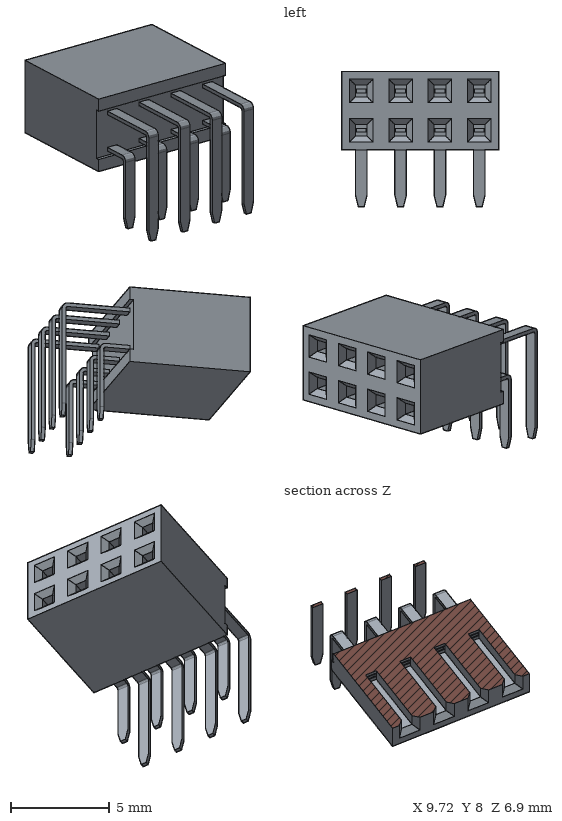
import cadquery as cq

pitch = 2.0
columns = 4
rows = 2

body_length = 6.35
body_width = columns * pitch
body_height = rows * pitch
rear_recess_depth = 0.2
rear_lip_height = 0.67

socket_mouth = 1.2
socket_throat = 0.6
lead_in_depth = (socket_mouth - socket_throat) / 2
socket_depth = 4.0

pin_width = 0.6
pin_thickness = 0.2
bend_inner_radius = 0.1
bend_outer_radius = bend_inner_radius + pin_thickness
overall_length = 9.72
tail_drop = 2.9
tip_width = 0.3
tip_length = 0.6

dish_floor_width = 0.5
dish_depth = (pin_width - dish_floor_width) / 2

column_positions = [(column - (columns - 1) / 2) * pitch for column in range(columns)]
row_heights = [(row + 0.5) * pitch for row in range(rows)]


def make_housing():
    """Block with a full-width recess across its rear face."""
    block = cq.Workplane("XY").box(body_length, body_width, body_height, centered=(False, True, False))
    recess = (
        cq.Workplane("XY")
        .box(
            rear_recess_depth,
            body_width,
            body_height - 2 * rear_lip_height,
            centered=(False, True, False),
        )
        .translate((body_length - rear_recess_depth, 0, rear_lip_height))
    )
    return block.cut(recess)


def make_socket(y, z):
    """Square blind hole with a pyramidal lead-in at the mating face."""
    lead_in = (
        cq.Workplane("YZ")
        .rect(socket_mouth, socket_mouth)
        .workplane(offset=lead_in_depth)
        .rect(socket_throat, socket_throat)
        .loft(ruled=True)
    )
    throat = cq.Workplane("YZ").rect(socket_throat, socket_throat).extrude(socket_depth)
    return lead_in.union(throat).translate((0, y, z))


def make_contact(y, z):
    """Flat strip that leaves the housing horizontally, bends down and ends in a tapered tip."""
    outer_x = overall_length - (row_heights[-1] - z)
    inner_x = outer_x - pin_thickness
    bend_x = outer_x - bend_outer_radius
    top_z = z + pin_thickness / 2
    bottom_z = z - pin_thickness / 2
    bend_z = top_z - bend_outer_radius

    strip = (
        cq.Workplane("XZ")
        .moveTo(socket_depth, top_z)
        .lineTo(bend_x, top_z)
        .radiusArc((outer_x, bend_z), bend_outer_radius)
        .lineTo(outer_x, -tail_drop)
        .lineTo(inner_x, -tail_drop)
        .lineTo(inner_x, bend_z)
        .radiusArc((bend_x, bottom_z), -bend_inner_radius)
        .lineTo(socket_depth, bottom_z)
        .close()
        .extrude(pin_width / 2, both=True)
    )
    return strip.cut(make_tip_trim(inner_x)).translate((0, y, 0))


def make_dish(y, z):
    """Trapezoidal recess in a contact end, exposed at the floor of its socket."""
    return (
        cq.Workplane("XY")
        .polyline([
            (socket_depth, -pin_width / 2),
            (socket_depth, pin_width / 2),
            (socket_depth + dish_depth, dish_floor_width / 2),
            (socket_depth + dish_depth, -dish_floor_width / 2),
        ])
        .close()
        .extrude(pin_thickness / 2, both=True)
        .translate((0, y, z))
    )


def make_tip_trim(inner_x):
    """Pair of wedges removed from the sides of a contact tail."""
    half_tip = tip_width / 2
    half_pin = pin_width / 2
    wedge = (
        cq.Workplane("YZ")
        .polyline([
            (half_tip, -tail_drop),
            (half_pin, -tail_drop + tip_length),
            (half_pin, -tail_drop),
        ])
        .close()
        .extrude(pin_thickness)
        .translate((inner_x, 0, 0))
    )
    return wedge.union(wedge.mirror("XZ"))


result = make_housing()
for y in column_positions:
    for z in row_heights:
        result = result.cut(make_socket(y, z))
        result = result.union(make_contact(y, z))
        result = result.cut(make_dish(y, z))